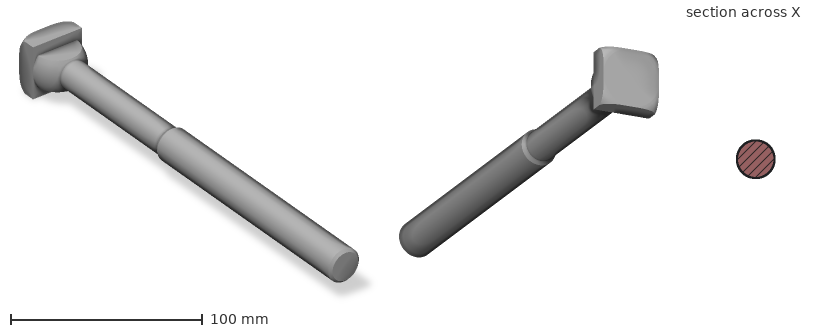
import cadquery as cq
import math

length = 262.0
head_width = 32.0
head_thickness = 12.0
neck_thickness = 19.5
shank_diameter = 17.0
thread_diameter = 20.0
thread_length = 150.0
shoulder_angle = 30.0
end_chamfer = 1.5
corner_round = 6.8

head_radius = head_width / 2
shank_radius = shank_diameter / 2
thread_radius = thread_diameter / 2
thread_start = length - thread_length
shoulder_length = (thread_radius - shank_radius) / math.tan(math.radians(shoulder_angle))


def revolve_about_axis(points):
    """Turn an (axial position, radius) outline around the X axis."""
    return cq.Workplane("XY").polyline(points).close().revolve(360, (0, 0, 0), (1, 0, 0))


def make_head():
    """Square head whose front corners are rounded off about the bolt axis."""
    square = cq.Workplane("YZ").rect(head_width, head_width).extrude(head_thickness)
    rounding_envelope = (
        cq.Workplane("XY")
        .moveTo(0, 0)
        .lineTo(0, head_radius)
        .radiusArc((corner_round, head_radius + corner_round), corner_round)
        .lineTo(head_thickness, head_radius + corner_round)
        .lineTo(head_thickness, 0)
        .close()
        .revolve(360, (0, 0, 0), (1, 0, 0))
    )
    return square.intersect(rounding_envelope)


def make_neck():
    """Half ball behind the head, flattened above and below."""
    ball = cq.Workplane("XY").sphere(head_radius).translate((head_thickness, 0, 0))
    slab = cq.Workplane("XY").box(
        head_radius, head_width, neck_thickness, centered=(False, True, True)
    ).translate((head_thickness, 0, 0))
    return ball.intersect(slab)


def make_shank():
    """Thin shank widening to the plain threaded length with a chamfered end."""
    return revolve_about_axis([
        (head_thickness, 0),
        (head_thickness, shank_radius),
        (thread_start - shoulder_length, shank_radius),
        (thread_start, thread_radius),
        (length - end_chamfer, thread_radius),
        (length, thread_radius - end_chamfer),
        (length, 0),
    ])


result = make_head().union(make_neck()).union(make_shank())